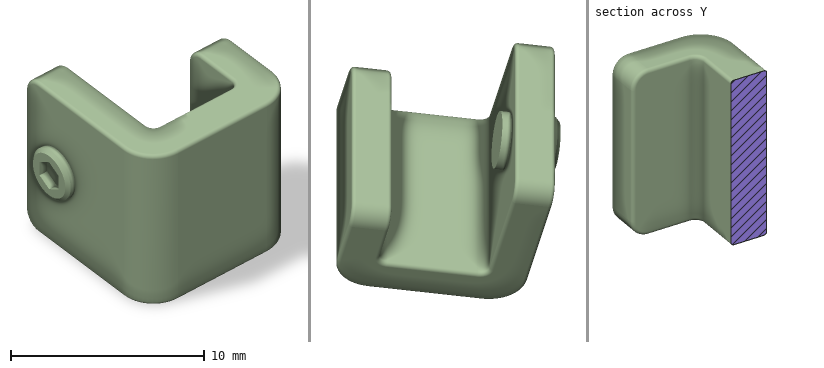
import cadquery as cq

length_x = 9.9
height = 9.9
body_depth = 10.0
arm_thickness = 2.1
web_thickness = 2.2
short_arm_length = 6.22
outer_radius = 2.0
inner_radius = 0.5
arm_corner_radius = 1.0
edge_radius = 0.2

screw_diameter = 3.0
screw_inset = 2.5
screw_protrusion = 0.5
screw_chamfer = 0.2
hex_across_corners = 1.78
hex_depth = 0.5

margin = 0.1

short_arm_start = length_x - short_arm_length
web_inner_x = length_x - web_thickness
short_arm_inner_y = body_depth - arm_thickness


def make_body():
    """Extruded U with rounded bends, rounded arm corners and softened edges."""
    body = (
        cq.Workplane("XY")
        .moveTo(0, 0)
        .lineTo(length_x, 0)
        .lineTo(length_x, body_depth)
        .lineTo(short_arm_start, body_depth)
        .lineTo(short_arm_start, short_arm_inner_y)
        .lineTo(web_inner_x, short_arm_inner_y)
        .lineTo(web_inner_x, arm_thickness)
        .lineTo(0, arm_thickness)
        .close()
        .extrude(height)
    )
    body = body.edges("|Z and >X").fillet(outer_radius)
    inner_bend = cq.selectors.BoxSelector(
        (web_inner_x - margin, arm_thickness - margin, 0),
        (web_inner_x + margin, short_arm_inner_y + margin, height),
    )
    body = body.edges("|Z").edges(inner_bend).fillet(inner_radius)
    free_ends = cq.selectors.BoxSelector(
        (-margin, -margin, -margin),
        (short_arm_start + margin, body_depth + margin, height + margin),
    )
    body = body.edges("|Y").edges(free_ends).fillet(arm_corner_radius)
    return body.faces(">Z or <Z").edges("not(|Y)").fillet(edge_radius)


def driven_end_plane():
    """Workplane centred on the outer end face of the screw."""
    return cq.Workplane("XZ", origin=(screw_inset, -screw_protrusion, height / 2))


def make_screw():
    """Set screw along Y, chamfered at its driven end, with a hexagon socket."""
    screw_length = arm_thickness + 2 * screw_protrusion
    screw = driven_end_plane().circle(screw_diameter / 2).extrude(-screw_length)
    return screw.faces("<Y").chamfer(screw_chamfer)


def make_hex_socket():
    """Hexagon with two corners on the vertical centre line."""
    return (
        driven_end_plane().transformed(rotate=(0, 0, 90))
        .polygon(6, hex_across_corners)
        .extrude(-hex_depth)
    )


result = make_body().union(make_screw()).cut(make_hex_socket())